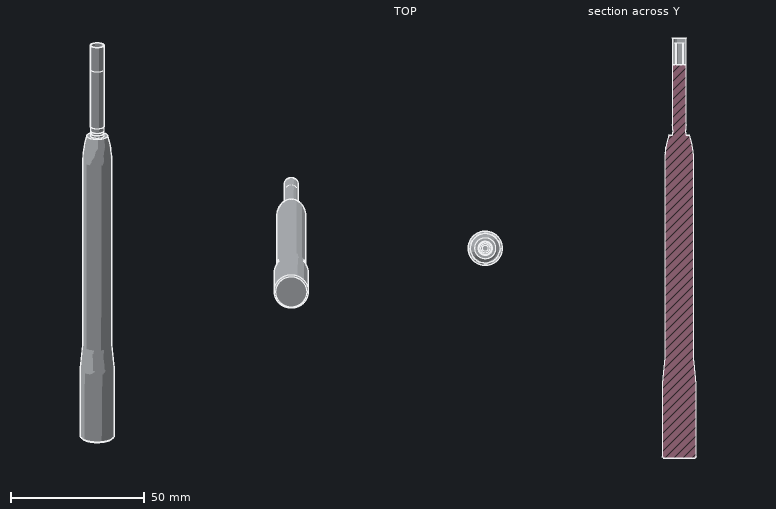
import cadquery as cq

total_height = 157.7
grip_radius = 6.5
body_radius = 5.5
tube_radius = 2.7

bottom_chamfer = 0.6
grip_top = 27.5

shoulder_bottom = 28.9
shoulder_top = 35.5
body_bottom = 36.9
blend_inset = 0.2

nose_bottom = 111.2
nose_top = 121.3
nose_tip_radius = 4.0

sleeve_step = 0.08
sleeve_radius = tube_radius - sleeve_step
neck_radius = 2.4
neck_bottom = 122.2
neck_top = 123.2
sleeve_top = 125.0

tube_wall = 0.38
bore_radius = tube_radius - tube_wall
bore_depth = 10.0
bore_floor = total_height - bore_depth
pin_radius = 1.7
pin_hole_radius = 1.1
pin_recess = 1.9


def make_stem():
    """Revolve the outer profile about Z."""
    profile = (
        cq.Workplane("XZ")
        .lineTo(grip_radius - bottom_chamfer, 0)
        .lineTo(grip_radius, bottom_chamfer)
        .lineTo(grip_radius, grip_top)
        .tangentArcPoint((grip_radius - blend_inset, shoulder_bottom), relative=False)
        .lineTo(body_radius + blend_inset, shoulder_top)
        .tangentArcPoint((body_radius, body_bottom), relative=False)
        .lineTo(body_radius, nose_bottom)
        .tangentArcPoint((nose_tip_radius, nose_top), relative=False)
        .lineTo(sleeve_radius, nose_top)
        .lineTo(sleeve_radius, neck_bottom)
        .lineTo(neck_radius, neck_bottom)
        .lineTo(neck_radius, neck_top)
        .lineTo(sleeve_radius, neck_top)
        .lineTo(sleeve_radius, sleeve_top)
        .lineTo(tube_radius, sleeve_top)
        .lineTo(tube_radius, total_height)
        .lineTo(0, total_height)
        .close()
    )
    return profile.revolve(360, (0, 0, 0), (0, 1, 0))


def make_socket():
    """Annular space around the pin, the clearance above it and the hole inside it."""
    floor = cq.Workplane("XY").workplane(offset=bore_floor)
    bore = floor.circle(bore_radius).extrude(bore_depth)
    pin = floor.circle(pin_radius).circle(pin_hole_radius).extrude(bore_depth - pin_recess)
    return bore.cut(pin)


result = make_stem().cut(make_socket())